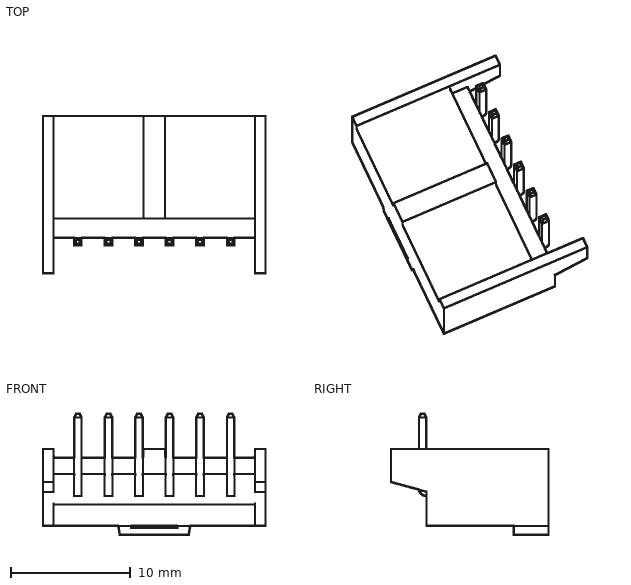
import cadquery as cq

WIDTH = 18.59
LENGTH = 13.15
HEIGHT = 6.43
OVERALL_HEIGHT = 10.11
WALL = 0.9
INNER_WIDTH = WIDTH - 2 * WALL

BODY_LENGTH = 10.19
ARM_ROOT_Z = 2.85
ARM_TIP_Z = 3.65

DECK_Z = 5.69
DECK_LENGTH = 8.57
BAR_BOTTOM_Z = 1.77
BAR_TOP_Z = 4.33
BAR_ROUND = 0.1

RIB_WIDTH = 1.82
DECK_FILLET = 0.15

STRAP_DEPTH = 0.75
STRAP_LENGTH = 2.9
STRAP_TOP_WIDTH = 6.02
STRAP_BOTTOM_WIDTH = 5.76
STRAP_GAP_WIDTH = 3.87
STRAP_GAP_HEIGHT = 0.17

PIN_COUNT = 6
PIN_PITCH = 2.55
PIN_SIZE = 0.63
PIN_BOTTOM_Z = 2.5
PIN_TOP_Z = OVERALL_HEIGHT - STRAP_DEPTH
PIN_TIP_HEIGHT = 0.33
PIN_TIP_SIZE = 0.3
PIN_BEND_RADIUS = PIN_SIZE


def box(x_centre, width, y_near, y_far, z_low, z_high):
    """Box centred on x_centre, between two Y distances from the mating end."""
    block = cq.Workplane("XY").box(width, y_far - y_near, z_high - z_low, centered=(True, False, False))
    return block.translate((x_centre, -y_far, z_low))


def side_wall(x_start):
    """Wall with a stepped front: a leg below and a sloped arm above."""
    profile = (
        cq.Workplane("YZ")
        .polyline([
            (0, 0),
            (-BODY_LENGTH, 0),
            (-BODY_LENGTH, ARM_ROOT_Z),
            (-LENGTH, ARM_TIP_Z),
            (-LENGTH, HEIGHT),
            (0, HEIGHT),
        ])
        .close()
    )
    return profile.extrude(WALL).translate((x_start, 0, 0))


def corner_fillet(x_corner, direction):
    """Concave strip filling the corner between the deck and an upright face."""
    r = DECK_FILLET
    strip = box(x_corner + direction * r / 2, r, 0, DECK_LENGTH, DECK_Z, DECK_Z + r)
    round_cut = (
        cq.Workplane("XZ")
        .center(x_corner + direction * r, DECK_Z + r)
        .circle(r)
        .extrude(DECK_LENGTH)
    )
    return strip.cut(round_cut)


def body():
    """Solid block between the walls, with the rib standing on its deck."""
    block = box(0, INNER_WIDTH, 0, DECK_LENGTH, 0, DECK_Z)
    return block.union(box(0, RIB_WIDTH, 0, DECK_LENGTH, DECK_Z, HEIGHT))


def pin_bar():
    """Ledge carrying the pins, with its two front edges rounded."""
    bar = box(0, INNER_WIDTH, DECK_LENGTH, BODY_LENGTH, BAR_BOTTOM_Z, BAR_TOP_Z)
    return bar.faces("<Y").edges("|X").fillet(BAR_ROUND)


def strap():
    """Tapered loop below the housing, open through its length."""
    outline = (
        cq.Workplane("XZ")
        .polyline([
            (-STRAP_TOP_WIDTH / 2, 0),
            (STRAP_TOP_WIDTH / 2, 0),
            (STRAP_BOTTOM_WIDTH / 2, -STRAP_DEPTH),
            (-STRAP_BOTTOM_WIDTH / 2, -STRAP_DEPTH),
        ])
        .close()
        .extrude(STRAP_LENGTH)
    )
    gap = box(0, STRAP_GAP_WIDTH, 0, STRAP_LENGTH, -STRAP_GAP_HEIGHT, 0)
    return outline.cut(gap)


def pin(x):
    """Upright pin against the bar, rounded at its lower bend and tapered at its tip."""
    shoulder_z = PIN_TOP_Z - PIN_TIP_HEIGHT
    far_y = BODY_LENGTH + PIN_SIZE
    shaft = box(x, PIN_SIZE, BODY_LENGTH, far_y, PIN_BOTTOM_Z, shoulder_z)
    bend_axis_z = PIN_BOTTOM_Z + PIN_BEND_RADIUS
    bend = (
        cq.Workplane("YZ")
        .center(-BODY_LENGTH, bend_axis_z)
        .circle(PIN_BEND_RADIUS)
        .extrude(PIN_SIZE)
        .translate((x - PIN_SIZE / 2, 0, 0))
    )
    lower = box(x, PIN_SIZE, BODY_LENGTH, far_y, PIN_BOTTOM_Z, bend_axis_z)
    shaft = shaft.cut(lower.cut(bend))
    tip = (
        cq.Workplane("XY")
        .rect(PIN_SIZE, PIN_SIZE)
        .workplane(offset=PIN_TIP_HEIGHT)
        .rect(PIN_TIP_SIZE, PIN_TIP_SIZE)
        .loft()
        .translate((x, -(BODY_LENGTH + PIN_SIZE / 2), shoulder_z))
    )
    return shaft.union(tip)


result = body()
result = result.union(pin_bar())
for x_start in (-WIDTH / 2, WIDTH / 2 - WALL):
    result = result.union(side_wall(x_start))
for side in (-1, 1):
    result = result.union(corner_fillet(side * RIB_WIDTH / 2, side))
    result = result.union(corner_fillet(side * INNER_WIDTH / 2, -side))
result = result.union(strap())
for i in range(PIN_COUNT):
    result = result.union(pin((i - (PIN_COUNT - 1) / 2) * PIN_PITCH))